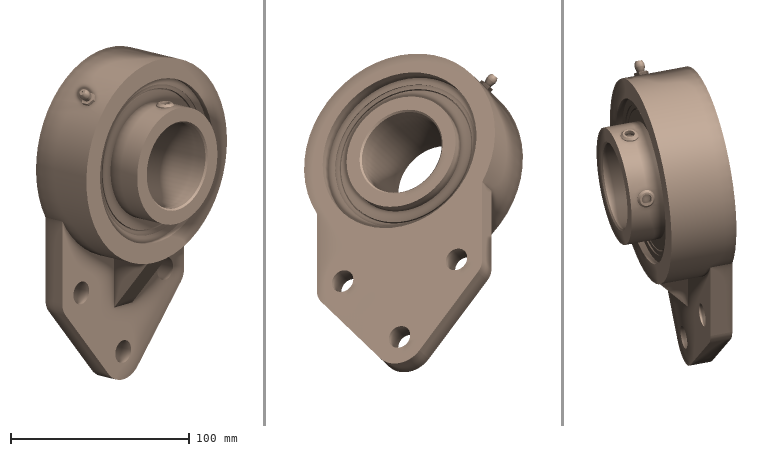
import cadquery as cq
import math


housing_dia = 117.5
housing_radius = housing_dia / 2
housing_width = 38.1
recess_dia = 94.7
front_recess_depth = 7.8

seat_edge_dia = 86.3
seat_centre_x = 21.1
seat_half_width = seat_centre_x - front_recess_depth
seat_end_x = seat_centre_x + seat_half_width
seat_radius = math.hypot(seat_edge_dia / 2, seat_half_width)

total_height = 190.5
plate_bottom_z = housing_radius - total_height
plate_width = 101.7
plate_thickness = 12.8
plate_corner_z = -81.5
plate_corner_fillet = 10.5
plate_tip_radius = 16.2
tip_centre_z = plate_bottom_z + plate_tip_radius
bolt_hole_dia = 13.1
side_hole_spacing = 70.1
side_hole_z = -74.3

rib_thickness = 15.2
rib_root_z = -55.2
rib_bottom_z = -88.4

nipple_x = 24.8
nipple_angle = 45.0
nipple_root_radius = housing_radius - 2.9
nipple_hex_flats = 7.2
nipple_hex_top = 60.5
nipple_neck_radius = 2.1
nipple_shoulder = 63.6
nipple_shoulder_radius = 2.9
nipple_head_mid = 65.7
nipple_head_mid_radius = 2.7
nipple_tip_radius = 2.0
nipple_tip = 67.0
nipple_hole_dia = 1.1
nipple_hole_depth = 2.9

insert_end_x = 53.7
outer_ring_inset = 1.0
outer_ring_start_x = front_recess_depth + outer_ring_inset
outer_ring_end_x = seat_end_x - outer_ring_inset
inner_ring_start_x = 2.1
inner_ring_dia = 67.0
bore_dia = 49.1
bore_chamfer = 1.0
seal_groove_outer_dia = 81.7
seal_groove_inner_dia = 80.2
seal_groove_depth = 2.0

screw_x = 44.5
screw_dia = 10.1
screw_root = 29.5
screw_top = 35.0
screw_chamfer = 1.1
screw_socket_dia = 5.7
screw_socket_depth = 2.9
screw_angles = (0.0, 69.0)


def disc(diameter, start_x, end_x):
    """Cylinder on the bearing axis between two X positions."""
    return cq.Workplane("YZ").workplane(offset=start_x).circle(diameter / 2).extrude(end_x - start_x)


def tube(outer_dia, inner_dia, start_x, end_x):
    """Hollow cylinder on the bearing axis between two X positions."""
    return disc(outer_dia, start_x, end_x).cut(disc(inner_dia, start_x, end_x))


def barrel(start_x, end_x):
    """Disc whose rim follows the spherical seat between two X positions."""
    ball = cq.Workplane("XY").sphere(seat_radius).translate((seat_centre_x, 0, 0))
    return ball.intersect(disc(2 * seat_radius, start_x, end_x))


def stand_on_rim(shape, x, angle):
    """Move a shape built up along Z to the given X, then tilt it about the bearing axis towards +Y."""
    return shape.translate((x, 0, 0)).rotate((0, 0, 0), (1, 0, 0), -angle)


def make_plate():
    half_width = plate_width / 2
    corner_drop = plate_corner_z - tip_centre_z
    corner_distance = math.hypot(half_width, corner_drop)
    tangent_angle = math.atan2(corner_drop, half_width) - math.acos(plate_tip_radius / corner_distance)
    tangent_y = plate_tip_radius * math.cos(tangent_angle)
    tangent_z = tip_centre_z + plate_tip_radius * math.sin(tangent_angle)
    plate = (
        cq.Workplane("YZ")
        .moveTo(-half_width, 0)
        .lineTo(half_width, 0)
        .lineTo(half_width, plate_corner_z)
        .lineTo(tangent_y, tangent_z)
        .threePointArc((0, plate_bottom_z), (-tangent_y, tangent_z))
        .lineTo(-half_width, plate_corner_z)
        .close()
        .extrude(plate_thickness)
    )
    for side in (-1, 1):
        corner = cq.selectors.NearestToPointSelector((plate_thickness / 2, side * half_width, plate_corner_z))
        plate = plate.edges("|X").edges(corner).fillet(plate_corner_fillet)
    return plate


def make_bolt_holes():
    half_spacing = side_hole_spacing / 2
    centres = [(-half_spacing, side_hole_z), (half_spacing, side_hole_z), (0, tip_centre_z)]
    return cq.Workplane("YZ").pushPoints(centres).circle(bolt_hole_dia / 2).extrude(plate_thickness)


def make_rib():
    rim_z = -math.sqrt(housing_radius**2 - (rib_thickness / 2) ** 2)
    return (
        cq.Workplane("XZ")
        .moveTo(0, rib_root_z)
        .lineTo(housing_width, rib_root_z)
        .lineTo(housing_width, rim_z)
        .lineTo(plate_thickness, rib_bottom_z)
        .lineTo(0, rib_bottom_z)
        .close()
        .extrude(rib_thickness / 2, both=True)
    )


def make_nipple():
    hex_turn = 30
    hexagon = (
        cq.Workplane("XY")
        .workplane(offset=nipple_root_radius)
        .polygon(6, nipple_hex_flats, circumscribed=True)
        .extrude(nipple_hex_top - nipple_root_radius)
        .rotate((0, 0, 0), (0, 0, 1), hex_turn)
    )
    head = (
        cq.Workplane("XZ")
        .moveTo(0, nipple_root_radius)
        .lineTo(nipple_neck_radius, nipple_root_radius)
        .lineTo(nipple_neck_radius, nipple_hex_top)
        .lineTo(nipple_shoulder_radius, nipple_shoulder)
        .threePointArc((nipple_head_mid_radius, nipple_head_mid), (nipple_tip_radius, nipple_tip))
        .lineTo(0, nipple_tip)
        .close()
        .revolve(360, (0, 0, 0), (0, 1, 0))
    )
    grease_hole = (
        cq.Workplane("XY")
        .workplane(offset=nipple_tip)
        .circle(nipple_hole_dia / 2)
        .extrude(-nipple_hole_depth)
    )
    return stand_on_rim(hexagon.union(head).cut(grease_hole), nipple_x, -nipple_angle)


def make_housing():
    body = disc(housing_dia, 0, housing_width).union(make_plate()).union(make_rib())
    body = body.cut(disc(recess_dia, 0, front_recess_depth))
    body = body.cut(disc(recess_dia, seat_end_x, housing_width))
    body = body.cut(barrel(front_recess_depth, seat_end_x)).cut(make_bolt_holes())
    return body.union(make_nipple())


def make_set_screw(angle):
    screw = (
        cq.Workplane("XY")
        .workplane(offset=screw_root)
        .circle(screw_dia / 2)
        .extrude(screw_top - screw_root)
        .faces(">Z")
        .chamfer(screw_chamfer)
    )
    return stand_on_rim(screw, screw_x, angle)


def make_screw_socket(angle):
    socket = (
        cq.Workplane("XY")
        .workplane(offset=screw_top)
        .circle(screw_socket_dia / 2)
        .extrude(-screw_socket_depth)
    )
    return stand_on_rim(socket, screw_x, angle)


def make_insert():
    body = barrel(outer_ring_start_x, outer_ring_end_x)
    body = body.union(disc(inner_ring_dia, inner_ring_start_x, insert_end_x))
    for groove_start in (outer_ring_start_x, outer_ring_end_x - seal_groove_depth):
        groove_end = groove_start + seal_groove_depth
        body = body.cut(tube(seal_groove_outer_dia, seal_groove_inner_dia, groove_start, groove_end))
    for angle in screw_angles:
        body = body.union(make_set_screw(angle)).cut(make_screw_socket(angle))
    bore = disc(bore_dia, inner_ring_start_x, insert_end_x)
    body = body.cut(bore)
    bore_rims = cq.selectors.RadiusNthSelector(0)
    return body.faces("<X or >X").edges(bore_rims).chamfer(bore_chamfer)


housing = make_housing()
insert = make_insert()

result = cq.Compound.makeCompound([housing.val(), insert.val()])